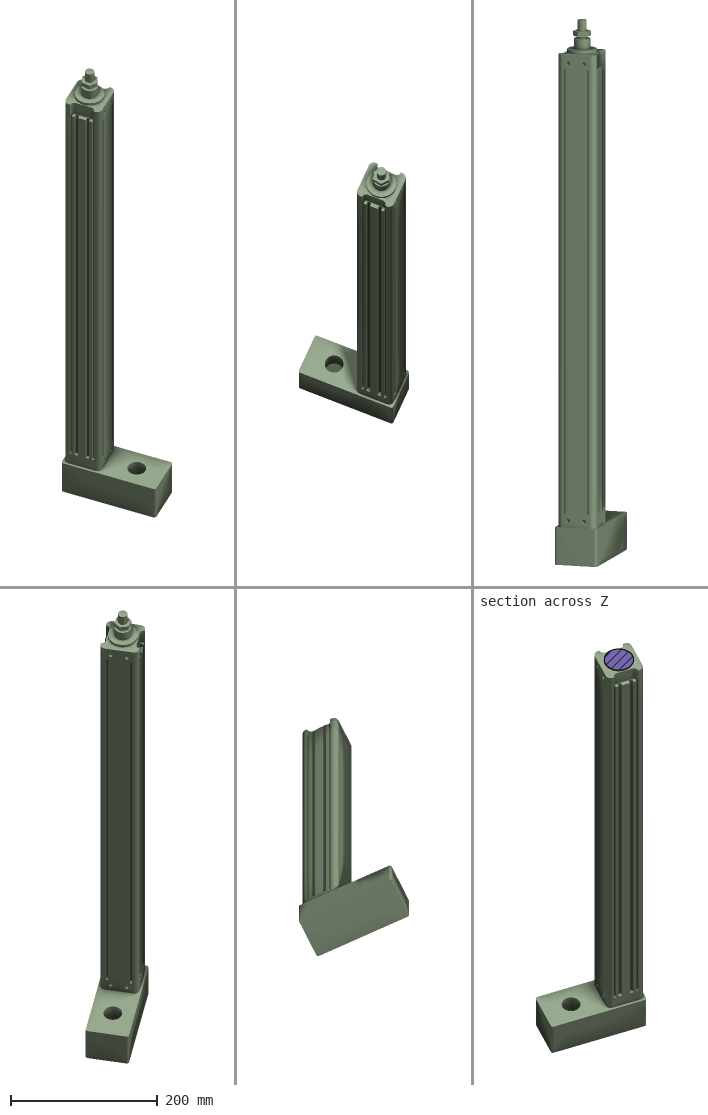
import cadquery as cq

foot_length = 140.0
foot_width = 60.0
foot_height = 52.0
foot_edge_radius = 3.0
foot_hole_diameter = 25.5
foot_hole_depth = 26.0
foot_hole_x = 70.0

column_side = 54.0
column_half = column_side / 2
column_corner_radius = 7.5
column_top = 707.0
foot_margin_x = 2.0
foot_left_x = -column_half - foot_margin_x

bottom_cap_height = 19.0
top_cap_height = 20.0
groove_bottom = foot_height + bottom_cap_height
groove_top = column_top - top_cap_height
outer_groove_offset = 16.5
outer_groove_width = 3.0
inner_groove_offset = 8.0
inner_groove_width = 5.0
groove_depth = 5.0

recess_half_floor = 11.0
recess_depth = 6.0

screw_diameter = 5.0
screw_depth = 6.0
screw_offset = 11.0
screw_bottom_distance = 10.0
screw_top_distance = 12.0

collar_diameter = 40.5
collar_top = 711.0
rod_diameter = 22.5
rod_top = 725.5
tip_diameter = 13.0
part_height = 751.0
nut_across_corners = 24.0
nut_bottom = 729.0
nut_top = 736.0
nut_turn = -10.0


def cylinder(diameter, bottom, top):
    """Upright cylinder on the column axis."""
    return cq.Workplane("XY").workplane(offset=bottom).circle(diameter / 2).extrude(top - bottom)


def make_foot():
    block = (
        cq.Workplane("XY")
        .box(foot_length, foot_width, foot_height, centered=(False, True, False))
        .translate((foot_left_x, 0, 0))
        .edges("|Z")
        .fillet(foot_edge_radius)
    )
    hole = cylinder(foot_hole_diameter, foot_height - foot_hole_depth, foot_height)
    return block.cut(hole.translate((foot_hole_x, 0, 0)))


def make_column():
    return (
        cq.Workplane("XY")
        .workplane(offset=foot_height)
        .rect(column_side, column_side)
        .extrude(column_top - foot_height)
        .edges("|Z")
        .fillet(column_corner_radius)
    )


def front_grooves(offset, width):
    """Mirrored pair of lengthwise grooves in the -Y face."""
    return (
        cq.Workplane("XY")
        .workplane(offset=groove_bottom)
        .pushPoints([(-offset, -column_half), (offset, -column_half)])
        .rect(width, 2 * groove_depth)
        .extrude(groove_top - groove_bottom)
    )


def front_recess():
    """Hollow through the top cap with a flat floor and concave round sides."""
    floor_y = -column_half + recess_depth
    half_mouth = recess_half_floor + recess_depth
    return (
        cq.Workplane("XY")
        .workplane(offset=groove_top)
        .moveTo(-half_mouth, -column_half)
        .radiusArc((-recess_half_floor, floor_y), recess_depth)
        .lineTo(recess_half_floor, floor_y)
        .radiusArc((half_mouth, -column_half), recess_depth)
        .close()
        .extrude(top_cap_height)
    )


def front_screw_holes():
    """Four blind holes in the -Y face, two in each end cap."""
    points = [
        (x, z)
        for x in (-screw_offset, screw_offset)
        for z in (foot_height + screw_bottom_distance, column_top - screw_top_distance)
    ]
    return (
        cq.Workplane("XZ", origin=(0, -column_half, 0))
        .pushPoints(points)
        .circle(screw_diameter / 2)
        .extrude(-screw_depth)
    )


def turned(tool, angle):
    """Turn a tool about the column axis onto another face."""
    return tool.rotate((0, 0, 0), (0, 0, 1), angle)


def make_nut():
    nut = (
        cq.Workplane("XY")
        .workplane(offset=nut_bottom)
        .polygon(6, nut_across_corners)
        .extrude(nut_top - nut_bottom)
    )
    return turned(nut, nut_turn)


column = make_column()

outer_grooves = front_grooves(outer_groove_offset, outer_groove_width)
for face_angle in (0, 90, 180, 270):
    column = column.cut(turned(outer_grooves, face_angle))

inner_grooves = front_grooves(inner_groove_offset, inner_groove_width)
for face_angle in (0, 180):
    column = column.cut(turned(inner_grooves, face_angle))
    column = column.cut(turned(front_recess(), face_angle))

for face_angle in (90, 270):
    column = column.cut(turned(front_screw_holes(), face_angle))

result = (
    make_foot()
    .union(column)
    .union(cylinder(collar_diameter, column_top, collar_top))
    .union(cylinder(rod_diameter, collar_top, rod_top))
    .union(cylinder(tip_diameter, rod_top, part_height))
    .union(make_nut())
)